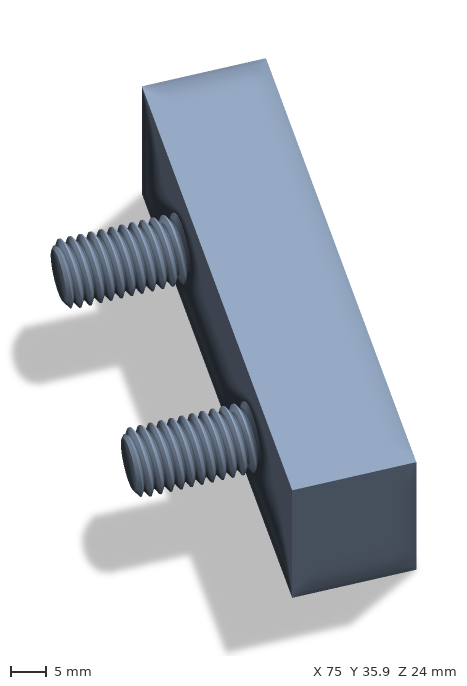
import cadquery as cq
import math

BLOCK_LENGTH = 75.0
BLOCK_DEPTH = 18.0
BLOCK_HEIGHT = 24.0

STUD_SPACING = 35.0
STUD_LENGTH = 17.9
STUD_RADIUS = 5.0
TIP_RADIUS = 3.8
TIP_LENGTH = 0.9
TRIM_MARGIN = 0.75

THREAD_PITCH = 1.5
THREAD_DEPTH = 0.9
CREST_WIDTH = THREAD_PITCH / 8
ROOT_WIDTH = THREAD_PITCH / 8
FIRST_ROOT = 0.3
SPARE_TURNS = 2


def make_block():
    """Plain block centred on X and Z, with its -Y face at Y = 0."""
    return cq.Workplane("XY").box(
        BLOCK_LENGTH, BLOCK_DEPTH, BLOCK_HEIGHT, centered=(True, False, True)
    )


def make_helix_turn(radius, height):
    """One turn of a right-hand helix around Z, starting on the +X side at the given height."""
    helix = cq.Wire.makeHelix(THREAD_PITCH, THREAD_PITCH, radius, center=cq.Vector(0, 0, height))
    return helix.Edges()[0]


def make_turn_end(profile, height):
    """Faces that close the threaded rod at a height: a helicoid out to the root and an axial step."""
    root_radius = profile[0][0]
    top = height + THREAD_PITCH
    axis = cq.Edge.makeLine(cq.Vector(0, 0, height), cq.Vector(0, 0, top))
    helicoid = cq.Face.makeRuledSurface(make_helix_turn(root_radius, height), axis)
    step_points = [(0, height), *[(r, height + z) for r, z in profile], (0, top)]
    step_wire = cq.Wire.makePolygon([cq.Vector(r, 0, z) for r, z in step_points], close=True)
    return [helicoid, cq.Face.makeFromWires(step_wire)]


def make_threaded_rod():
    """Closed threaded rod around Z that runs past both ends of the stud."""
    root_radius = STUD_RADIUS - THREAD_DEPTH
    flank_width = (THREAD_PITCH - CREST_WIDTH - ROOT_WIDTH) / 2

    profile = [
        (root_radius, 0),
        (root_radius, ROOT_WIDTH),
        (STUD_RADIUS, ROOT_WIDTH + flank_width),
        (STUD_RADIUS, THREAD_PITCH - flank_width),
        (root_radius, THREAD_PITCH),
    ]
    turns = math.ceil(STUD_LENGTH / THREAD_PITCH) + 2 * SPARE_TURNS
    start = FIRST_ROOT - ROOT_WIDTH / 2 - SPARE_TURNS * THREAD_PITCH

    faces = make_turn_end(profile, start) + make_turn_end(profile, start + turns * THREAD_PITCH)
    for turn in range(turns):
        height = start + turn * THREAD_PITCH
        helices = [make_helix_turn(r, height + z) for r, z in profile]
        for lower, upper in zip(helices, helices[1:]):
            faces.append(cq.Face.makeRuledSurface(lower, upper))
    return cq.Workplane(obj=cq.Solid.makeSolid(cq.Shell.makeShell(faces)))


def make_stud():
    """Threaded stud with a conical tip, standing on the block face and pointing along -Y."""
    cone_slope = TIP_LENGTH / (STUD_RADIUS - TIP_RADIUS)
    trim_radius = STUD_RADIUS + TRIM_MARGIN
    cone_start = STUD_LENGTH - (trim_radius - TIP_RADIUS) * cone_slope
    envelope = (
        cq.Workplane("XZ")
        .polyline([
            (0, 0),
            (trim_radius, 0),
            (trim_radius, cone_start),
            (TIP_RADIUS, STUD_LENGTH),
            (0, STUD_LENGTH),
        ])
        .close()
        .revolve(360, (0, 0, 0), (0, 1, 0))
    )
    stud = envelope.intersect(make_threaded_rod())
    return stud.rotate((0, 0, 0), (1, 0, 0), 90)


block = make_block()
stud = make_stud()
studs = [stud.translate((side * STUD_SPACING / 2, 0, 0)) for side in (-1, 1)]

result = cq.Compound.makeCompound([block.val(), *[copy.solids().val() for copy in studs]])